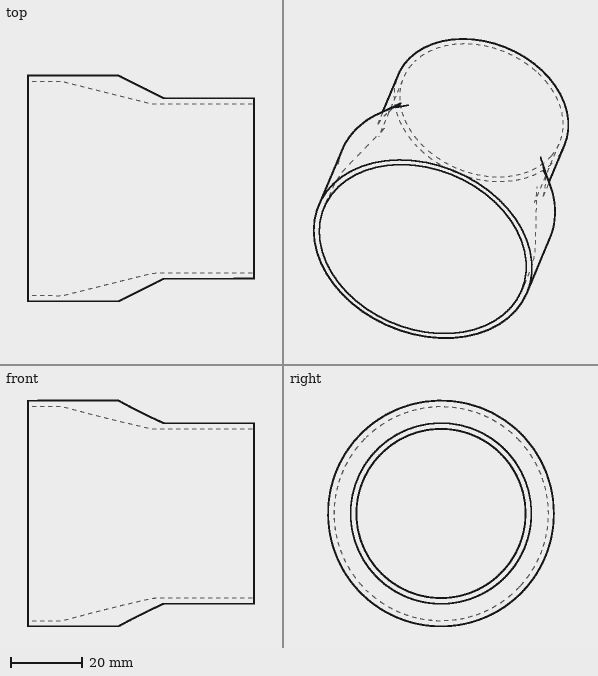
import cadquery as cq

length = 63.5
large_diameter = 63.5
small_diameter = 50.8
wall = 1.65

outer_cone_start = 25.4
outer_cone_end = 38.1
outer_blend_radius = 0.65

bore_cone_start = 9.5
bore_cone_end = 34.9
bore_blend_radius = 6.35


def stepped_solid(large_radius, small_radius, cone_start, cone_end, blend_radius):
    """Solid of revolution about X: large cylinder, cone, small cylinder, cone edges rounded."""
    half_section = (
        cq.Workplane("XY")
        .lineTo(0, large_radius)
        .lineTo(cone_start, large_radius)
        .lineTo(cone_end, small_radius)
        .lineTo(length, small_radius)
        .lineTo(length, 0)
        .close()
    )
    body = half_section.revolve(360, (0, 0, 0), (1, 0, 0))
    for edge_x in (cone_start, cone_end):
        cone_edge = cq.selectors.NearestToPointSelector((edge_x, 0, 0))
        body = body.edges("%CIRCLE").edges(cone_edge).fillet(blend_radius)
    return body


outer_body = stepped_solid(
    large_diameter / 2,
    small_diameter / 2,
    outer_cone_start,
    outer_cone_end,
    outer_blend_radius,
)
bore = stepped_solid(
    large_diameter / 2 - wall,
    small_diameter / 2 - wall,
    bore_cone_start,
    bore_cone_end,
    bore_blend_radius,
)
result = outer_body.cut(bore)